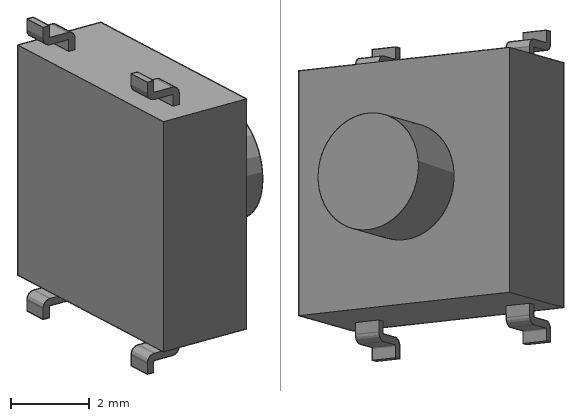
import cadquery as cq

body_side = 6.3
body_depth = 2.6
button_diameter = 3.0
total_depth = 4.3
total_height = 8.0
lead_width = 0.7
lead_thickness = 0.2
lead_depth = 1.0
lead_pitch = 4.5
first_lead_x = -2.4
bend_inner_radius = 0.02

bend_outer_radius = bend_inner_radius + lead_thickness
body_top = body_side / 2
lead_tip = total_height / 2
jog_middle = (body_top + lead_tip) / 2
jog_bottom = jog_middle - lead_thickness / 2
jog_top = jog_middle + lead_thickness / 2


def make_body():
    """Square housing with its flat front face on Y = 0."""
    return cq.Workplane("XY").box(body_side, body_depth, body_side).translate((0, body_depth / 2, 0))


def make_button():
    """Round button standing on the back face of the housing."""
    return (
        cq.Workplane("XZ", origin=(0, body_depth, 0))
        .circle(button_diameter / 2)
        .extrude(body_depth - total_depth)
    )


def make_upper_lead(center_x):
    """Z-bent strip rising from the housing and jogging forward to the front face."""
    profile = [
        (lead_depth, body_top),
        (lead_depth, jog_top),
        (lead_thickness, jog_top),
        (lead_thickness, lead_tip),
        (0, lead_tip),
        (0, jog_bottom),
        (lead_depth - lead_thickness, jog_bottom),
        (lead_depth - lead_thickness, body_top),
    ]
    strip = (
        cq.Workplane("YZ", origin=(center_x, 0, 0))
        .polyline(profile)
        .close()
        .extrude(lead_width / 2, both=True)
    )
    outer_corners = [(lead_depth, jog_top), (0, jog_bottom)]
    inner_corners = [(lead_thickness, jog_top), (lead_depth - lead_thickness, jog_bottom)]
    strip = round_bends(strip, center_x, outer_corners, bend_outer_radius)
    return round_bends(strip, center_x, inner_corners, bend_inner_radius)


def round_bends(strip, center_x, corners, radius):
    """Fillet the edges along X that pass through the given (Y, Z) corners."""
    for y, z in corners:
        nearest = cq.selectors.NearestToPointSelector((center_x, y, z))
        strip = strip.edges("|X").edges(nearest).fillet(radius)
    return strip


result = make_body().union(make_button())
for center_x in (first_lead_x, first_lead_x + lead_pitch):
    upper_lead = make_upper_lead(center_x)
    result = result.union(upper_lead).union(upper_lead.mirror("XY"))